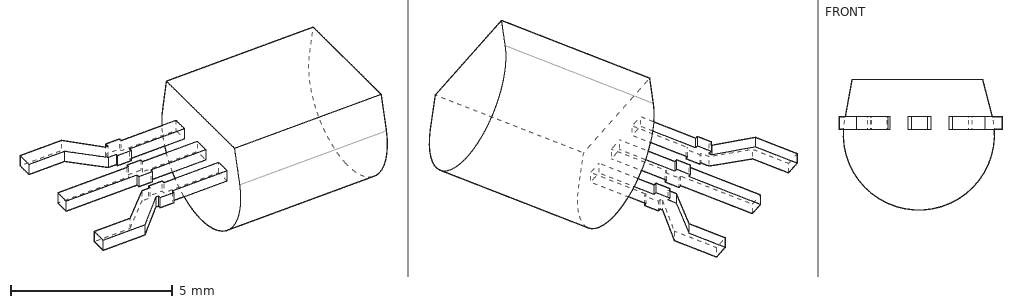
import cadquery as cq
import math

OVERALL_LENGTH = 10.49
OVERALL_HEIGHT = 4.06
LEAD_LENGTH = 5.15
BODY_LENGTH = OVERALL_LENGTH - LEAD_LENGTH
BODY_RADIUS = 2.35
TOP_Z = OVERALL_HEIGHT - BODY_RADIUS
TOP_LEFT_X = -2.08
TOP_RIGHT_X = 1.98
FLANK_Z = 0.49

LEAD_WIDTH = 0.5
LEAD_THICKNESS = 0.4
LEAD_BOTTOM_Z = 0.16
LEAD_PITCH = 1.27
MIDDLE_LEAD_X = 0.02
COLLAR_START = 1.99
COLLAR_LENGTH = 0.5
COLLAR_END = COLLAR_START + COLLAR_LENGTH
COLLAR_WIDTH = 0.7
SHORT_LEAD_LENGTH = 5.08

FOOT_WIDTH = 0.53
NECK_OUTER_END = 2.59
NECK_INNER_END = 2.79
FOOT_LEFT_X = -2.48
FOOT_RIGHT_X = 2.59
LEFT_NECK_SHIFT = 0.03
LEFT_FOOT_START = 3.57
RIGHT_FOOT_START = 3.63
FOOT_INNER_DROP = 0.22


def make_body():
    flank_x = math.sqrt(BODY_RADIUS**2 - FLANK_Z**2)
    return (
        cq.Workplane("XZ")
        .moveTo(TOP_LEFT_X, TOP_Z)
        .lineTo(TOP_RIGHT_X, TOP_Z)
        .lineTo(flank_x, FLANK_Z)
        .threePointArc((0, -BODY_RADIUS), (-flank_x, FLANK_Z))
        .close()
        .extrude(-BODY_LENGTH)
    )


def strip(center_x, width, start, end):
    """Straight flat strip running from one distance to another off the body face."""
    return (
        cq.Workplane("XY", origin=(center_x, -(start + end) / 2, LEAD_BOTTOM_Z))
        .rect(width, end - start)
        .extrude(LEAD_THICKNESS)
    )


def collared_lead(center_x):
    """Straight part of a lead, from the body to the end of its collar."""
    lead = strip(center_x, LEAD_WIDTH, 0, COLLAR_END)
    return lead.union(strip(center_x, COLLAR_WIDTH, COLLAR_START, COLLAR_END))


def cranked_end(neck_x, side, foot_x, foot_start, foot_end):
    """Bent end of an outer lead; side is -1 to bend toward -X and 1 toward +X."""
    neck_outer_x = neck_x + side * LEAD_WIDTH / 2
    neck_inner_x = neck_x - side * LEAD_WIDTH / 2
    foot_inner_x = foot_x - side * FOOT_WIDTH
    return (
        cq.Workplane("XY", origin=(0, 0, LEAD_BOTTOM_Z))
        .moveTo(neck_outer_x, -COLLAR_END)
        .lineTo(neck_outer_x, -NECK_OUTER_END)
        .lineTo(foot_x, -foot_start)
        .lineTo(foot_x, -foot_end)
        .lineTo(foot_inner_x, -foot_end)
        .lineTo(foot_inner_x, -(foot_start + FOOT_INNER_DROP))
        .lineTo(neck_inner_x, -NECK_INNER_END)
        .lineTo(neck_inner_x, -COLLAR_END)
        .close()
        .extrude(LEAD_THICKNESS)
    )


left_lead_x = MIDDLE_LEAD_X - LEAD_PITCH
right_lead_x = MIDDLE_LEAD_X + LEAD_PITCH

result = make_body()
for lead_x in (left_lead_x, MIDDLE_LEAD_X, right_lead_x):
    result = result.union(collared_lead(lead_x))

result = result.union(strip(MIDDLE_LEAD_X, LEAD_WIDTH, COLLAR_END, SHORT_LEAD_LENGTH))
result = result.union(
    cranked_end(left_lead_x + LEFT_NECK_SHIFT, -1, FOOT_LEFT_X, LEFT_FOOT_START, SHORT_LEAD_LENGTH)
)
result = result.union(cranked_end(right_lead_x, 1, FOOT_RIGHT_X, RIGHT_FOOT_START, LEAD_LENGTH))